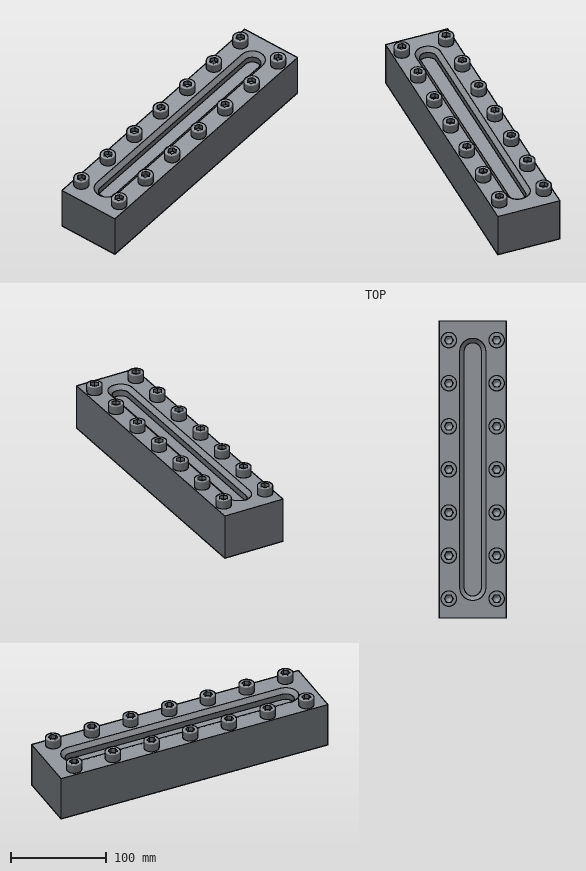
import cadquery as cq
import math

block_width = 70.0
block_length = 310.0
total_height = 60.8

head_diameter = 16.0
head_height = 9.5
head_edge_radius = 1.0
row_spacing = 50.0
screw_pitch = 45.0
screws_per_row = 7

socket_across_flats = 8.0
socket_depth = 5.0
socket_cone_depth = 2.5

window_width = 18.0
window_end_centres = 246.0
window_bevel = 4.5
window_wall_depth = 6.8

block_height = total_height - head_height
socket_across_corners = socket_across_flats / math.cos(math.pi / 6)


def slot_outline(width, height):
    """Round-ended outline along Y, lying at the given height."""
    return cq.Workplane("XY", origin=(0, 0, height)).slot2D(window_end_centres + width, width, 90)


def window_cutter():
    """Straight-walled slot below a 45 degree bevelled rim."""
    rim_width = window_width + 2 * window_bevel
    rim = slot_outline(rim_width, block_height).extrude(-window_bevel, taper=45)
    recess_depth = window_bevel + window_wall_depth
    recess = slot_outline(window_width, block_height).extrude(-recess_depth)
    return rim.union(recess)


def socket_screw():
    """Cylindrical head with a rounded top edge and a hexagonal socket, standing on Z = 0."""
    head = cq.Workplane("XY").circle(head_diameter / 2).extrude(head_height)
    head = head.faces(">Z").edges().fillet(head_edge_radius)
    socket_floor = head_height - socket_depth
    socket = (
        cq.Workplane("XY", origin=(0, 0, socket_floor))
        .polygon(6, socket_across_corners)
        .extrude(socket_depth)
    )
    cone_tip = cq.Vector(0, 0, socket_floor - socket_cone_depth)
    cone = cq.Solid.makeCone(0, socket_across_flats / 2, socket_cone_depth, cone_tip)
    return head.cut(socket).cut(cq.Workplane(cone))


result = cq.Workplane("XY").box(block_width, block_length, block_height, centered=(True, True, False))
result = result.cut(window_cutter())

screw = socket_screw()
for side in (-1, 1):
    for index in range(screws_per_row):
        x = side * row_spacing / 2
        y = (index - (screws_per_row - 1) / 2) * screw_pitch
        result = result.union(screw.translate((x, y, block_height)))